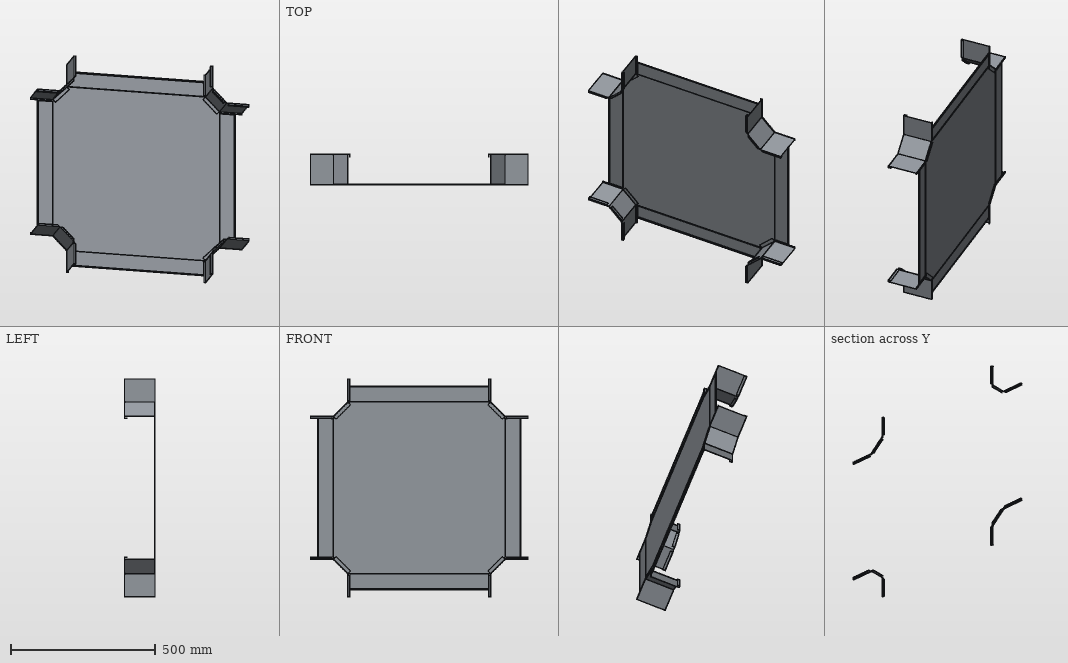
import cadquery as cq
import math


span = 753.97
height = 107.0
sheet = 1.5
front = -height / 2
back = height / 2

rail_half_width = 248.0
leg_length = 79.5
tip = span / 2
corner = tip - leg_length
leg_floor_flange = 6.0
diagonal_floor_flange = 14.0
top_flange = 8.0
lip_depth = 10.0
top_bend_radius = 2.0
relief_width = 3.0
relief_depth = 2.5

strip_half_width = 240.0
strip_end = 353.0
tip_lip = 2.5
tip_slope = 2.0


def rail_segment(start, end, floor_flange):
    """Extrude the C-section from start to end, both (x, z) points on the outer wall face."""
    length = math.dist(start, end)
    run_x = (end[0] - start[0]) / length
    run_z = (end[1] - start[1]) / length
    plane = cq.Plane(origin=(start[0], 0, start[1]), xDir=(run_z, 0, -run_x), normal=(run_x, 0, run_z))
    arc_inset = top_bend_radius * (1 - math.sqrt(0.5))
    section = (
        cq.Workplane(plane)
        .moveTo(0, front)
        .lineTo(floor_flange, front)
        .lineTo(floor_flange, front + sheet)
        .lineTo(sheet, front + sheet)
        .lineTo(sheet, back - sheet)
        .lineTo(top_flange - sheet, back - sheet)
        .lineTo(top_flange - sheet, back - lip_depth)
        .lineTo(top_flange, back - lip_depth)
        .lineTo(top_flange, back)
        .lineTo(top_bend_radius, back)
        .threePointArc((arc_inset, back - arc_inset), (0, back - top_bend_radius))
        .close()
    )
    return section.extrude(length)


def upright_prism(points, low, high):
    """Prism with an outline of (x, z) points, reaching from y = low to y = high."""
    return cq.Workplane("XZ", origin=(0, high, 0)).polyline(points).close().extrude(high - low)


inner_half_width = rail_half_width - sheet
inner_corner = corner - sheet * math.tan(math.pi / 8)


def make_rail():
    """Side rail of the (-X, +Z) corner: leg along X, diagonal wall, leg along Z."""
    path = [
        (-tip, rail_half_width),
        (-corner, rail_half_width),
        (-rail_half_width, corner),
        (-rail_half_width, tip),
    ]
    inner_path = [
        (-tip, inner_half_width),
        (-inner_corner, inner_half_width),
        (-inner_half_width, inner_corner),
        (-inner_half_width, tip),
    ]
    legs = rail_segment(path[0], path[1], leg_floor_flange)
    legs = legs.union(rail_segment(path[2], path[3], leg_floor_flange))

    vertical_miter = [
        (-inner_half_width, corner),
        (-rail_half_width + top_flange, corner),
        (-rail_half_width + top_flange, corner + top_flange),
        (-inner_half_width, corner + sheet),
    ]
    horizontal_miter = [(-z, -x) for x, z in vertical_miter]
    for miter in (vertical_miter, horizontal_miter):
        legs = legs.cut(upright_prism(miter, front, back))

    wall = upright_prism(path + inner_path[::-1], front, back - relief_depth)
    diagonal = rail_segment(path[1], path[2], diagonal_floor_flange)

    taper_reach = top_flange * math.sqrt(2)
    upper_taper = [
        path[2],
        (path[2][0], path[2][1] - taper_reach),
        (path[2][0] + taper_reach, path[2][1] - taper_reach),
    ]
    lower_taper = [(-z, -x) for x, z in upper_taper]
    for taper in (upper_taper, lower_taper):
        diagonal = diagonal.cut(upright_prism(taper, back - lip_depth, back))
    rail = legs.union(diagonal).union(wall)

    for x, z in path[1:3]:
        notch = cq.Workplane("XY").box(relief_width, 2 * relief_depth, relief_width)
        rail = rail.cut(notch.translate((x, back, z)))
    return rail


def make_base_plate():
    """Octagonal floor behind the diagonal flanges, with four strips stepped forward to the front face."""
    octagon = [
        (-inner_half_width, inner_corner),
        (inner_half_width, inner_corner),
        (inner_corner, inner_half_width),
        (inner_corner, -inner_half_width),
        (inner_half_width, -inner_corner),
        (-inner_half_width, -inner_corner),
        (-inner_corner, -inner_half_width),
        (-inner_corner, inner_half_width),
    ]
    middle = front + sheet
    rear = front + 2 * sheet
    plate = upright_prism(octagon, middle, rear)

    lip_start = strip_end - tip_lip
    slope_start = lip_start - tip_slope
    strip_section = [
        (front, inner_corner),
        (front, slope_start),
        (middle, lip_start),
        (middle, strip_end),
        (rear, strip_end),
        (rear, lip_start),
        (middle, slope_start),
        (middle, inner_corner + sheet),
        (rear, inner_corner + sheet),
        (rear, inner_corner),
    ]
    strip = cq.Workplane("YZ").polyline(strip_section).close().extrude(strip_half_width, both=True)
    for turn in range(4):
        plate = plate.union(strip.rotate((0, 0, 0), (0, 1, 0), 90 * turn))
    return plate


base_plate = make_base_plate()
corner_rail = make_rail()
rails = [corner_rail.rotate((0, 0, 0), (0, 1, 0), 90 * turn) for turn in range(4)]

result = cq.Compound.makeCompound([base_plate.solids().val(), *[rail.solids().val() for rail in rails]])